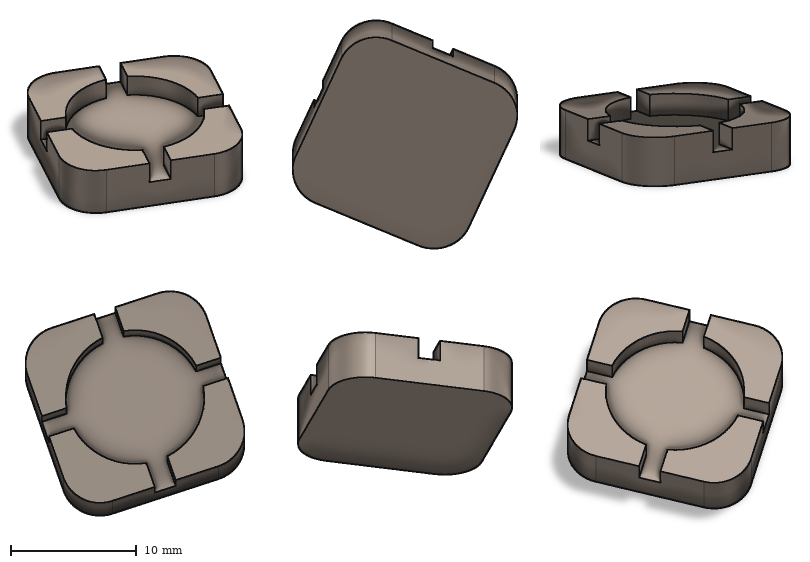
import cadquery as cq

side = 15.0
height = 4.0
corner_radius = 3.05
recess_diameter = 11.0
slot_width = 1.75
recess_depth = 1.75

floor_height = height - recess_depth


def rounded_block():
    """Square block standing on Z = 0 with rounded vertical corners."""
    block = cq.Workplane("XY").box(side, side, height, centered=(True, True, False))
    return block.edges("|Z").fillet(corner_radius)


def recess():
    """Round pocket crossed by two slots, all sharing one floor."""
    floor = cq.Workplane("XY").workplane(offset=floor_height)
    pocket = floor.circle(recess_diameter / 2).extrude(recess_depth)
    slot_along_x = floor.rect(side, slot_width).extrude(recess_depth)
    slot_along_y = floor.rect(slot_width, side).extrude(recess_depth)
    return pocket.union(slot_along_x).union(slot_along_y)


result = rounded_block().cut(recess())